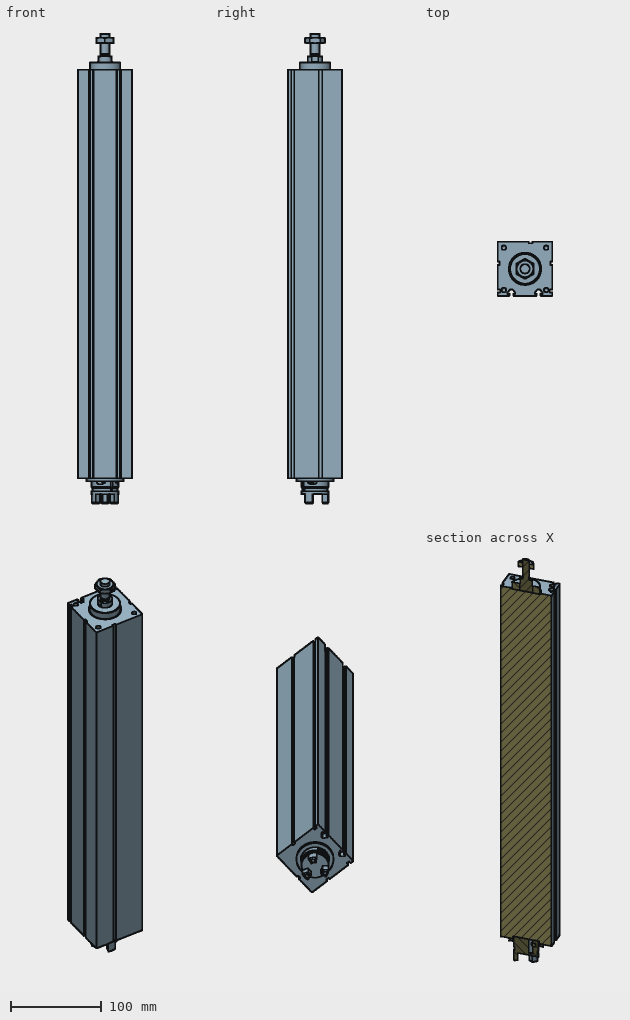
import cadquery as cq
import math

overall_height = 517.0
hub_rim_bottom = 11.0
ring_bottom = 25.0
housing_bottom = 28.0
housing_top = 477.5
collar_top = 485.5
flats_bottom = 486.5
neck_top = 492.0
relief_bottom = 493.5
relief_top = 495.0

housing_width = 60.0
half_width = housing_width / 2
corner_chamfer = 0.5
groove_width = 3.5
groove_depth = 1.8
groove_offset = 6.0
foot_groove_width = 3.0
foot_groove_depth = 2.5
foot_groove_y = -24.5
slot_offset = 15.0
slot_opening = 3.5
slot_lip = 2.5
slot_chamfer = 1.0
slot_cavity_width = 8.5
slot_cavity_wall = 1.0
slot_depth = 7.0
slot_floor_width = 2.5
screw_hole_diameter = 5.0
screw_hole_depth = 10.5
screw_hole_offset = 23.5
drill_point_angle = 118.0

collar_diameter = 33.5
collar_chamfer = 0.5
collar_recess_diameter = 35.5
collar_recess_depth = 1.0
rod_diameter = 16.0
rod_flats = 14.5
thread_diameter = 10.5
relief_diameter = 10.0
hexagon_sides = 6
nut_bottom = 506.5
nut_height = 6.0
nut_across_flats = 19.0
nut_face_diameter = 18.0
nut_chamfer_angle = 20.0

collar_bottom = housing_top - collar_recess_depth

ring_diameter = 41.0
hub_diameter = 30.0
hub_clearance = 0.5
hub_top = 31.0
hub_groove_bottom = 14.0
hub_groove_height = 3.0
hub_groove_depth = 1.0
hub_groove_taper = 1.5
jaw_count = 3
jaw_start_angle = 90.0
jaw_half_angle = 18.0
jaw_inner_radius = 8.5
jaw_chamfer = 1.5
slit_width = 2.0
slit_angle = -60.0

screw_z = 25.5
screw_radius_from_axis = 9.5
screw_thread_diameter = 4.0
screw_head_diameter = 7.0
screw_pocket_diameter = 8.0
screw_head_bearing = 4.0
screw_head_height = 3.0
screw_end_seat = 6.5
screw_socket_flats = 3.0
screw_socket_depth = 1.5


def cylinder(diameter, bottom, top):
    return cq.Workplane("XY").workplane(offset=bottom).circle(diameter / 2).extrude(top - bottom)


def full_length_bar(size_x, size_y, x, y):
    """Rectangular bar over the whole housing length, for the blank and straight grooves."""
    bar = cq.Workplane("XY").workplane(offset=housing_bottom).center(x, y)
    return bar.rect(size_x, size_y).extrude(housing_top - housing_bottom)


def t_slot(x):
    """T-slot open to -Y, with chamfered lips and a tapered floor."""
    half_mouth = slot_opening / 2 + slot_chamfer
    right_side = [
        (half_mouth, 0),
        (slot_opening / 2, slot_chamfer),
        (slot_opening / 2, slot_lip),
        (slot_cavity_width / 2, slot_lip),
        (slot_cavity_width / 2, slot_lip + slot_cavity_wall),
        (slot_floor_width / 2, slot_depth),
    ]
    left_side = [(-px, py) for px, py in reversed(right_side)]
    profile = cq.Workplane("XY", origin=(x, -half_width, housing_bottom))
    return profile.polyline(right_side + left_side).close().extrude(housing_top - housing_bottom)


def screw_hole(x, y):
    """Blind hole with a conical bottom, drilled from the top face."""
    radius = screw_hole_diameter / 2
    point_depth = radius / math.tan(math.radians(drill_point_angle / 2))
    section = [
        (0, 0),
        (radius, 0),
        (radius, -screw_hole_depth),
        (0, -screw_hole_depth - point_depth),
    ]
    hole = cq.Workplane("XZ").polyline(section).close().revolve(360, (0, 0, 0), (0, 1, 0))
    return hole.translate((x, y, housing_top))


def make_housing():
    body = full_length_bar(housing_width, housing_width, 0, 0).edges("|Z").chamfer(corner_chamfer)
    body = body.cut(full_length_bar(groove_width, 2 * groove_depth, groove_offset, half_width))
    for side in (-1, 1):
        side_x = side * half_width
        body = body.cut(full_length_bar(2 * groove_depth, groove_width, side_x, groove_offset))
        body = body.cut(full_length_bar(2 * foot_groove_depth, foot_groove_width, side_x, foot_groove_y))
        body = body.cut(t_slot(side * slot_offset))
        for hole_y in (-screw_hole_offset, screw_hole_offset):
            body = body.cut(screw_hole(side * screw_hole_offset, hole_y))
    hub_recess = cylinder(hub_diameter + 2 * hub_clearance, housing_bottom, hub_top)
    collar_recess = cylinder(collar_recess_diameter, collar_bottom, housing_top)
    return body.cut(hub_recess).cut(collar_recess)


def make_collar():
    collar = cylinder(collar_diameter, collar_bottom, collar_top).faces(">Z").edges().chamfer(collar_chamfer)
    return collar.cut(cylinder(rod_diameter, collar_bottom, collar_top))


def make_rod():
    """Rod with two wrench flats facing X, a thread relief and a threaded end."""
    rod = cylinder(rod_diameter, collar_bottom, neck_top)
    flats_height = neck_top - flats_bottom
    flats_zone = cq.Workplane("XY").workplane(offset=flats_bottom).rect(2 * rod_diameter, 2 * rod_diameter)
    flats_core = cq.Workplane("XY").workplane(offset=flats_bottom).rect(rod_flats, 2 * rod_diameter)
    rod = rod.cut(flats_zone.extrude(flats_height).cut(flats_core.extrude(flats_height)))
    shoulder = cylinder(thread_diameter, neck_top, relief_bottom)
    relief = cylinder(relief_diameter, relief_bottom, relief_top)
    thread = cylinder(thread_diameter, relief_top, overall_height)
    return rod.union(shoulder).union(relief).union(thread)


def make_nut():
    """Hexagon nut with corners toward +Y and -Y and both ends chamfered."""
    corner_radius = nut_across_flats / math.sqrt(3)
    corner_step = 2 * math.pi / hexagon_sides
    corners = [
        (corner_radius * math.sin(i * corner_step), corner_radius * math.cos(i * corner_step))
        for i in range(hexagon_sides)
    ]
    nut = cq.Workplane("XY").workplane(offset=nut_bottom).polyline(corners).close().extrude(nut_height)
    face_radius = nut_face_diameter / 2
    drop = (corner_radius - face_radius) * math.tan(math.radians(nut_chamfer_angle))
    envelope_section = [
        (0, 0),
        (face_radius, 0),
        (corner_radius, drop),
        (corner_radius, nut_height - drop),
        (face_radius, nut_height),
        (0, nut_height),
    ]
    envelope = cq.Workplane("XZ").polyline(envelope_section).close().revolve(360, (0, 0, 0), (0, 1, 0))
    nut = nut.intersect(envelope.translate((0, 0, nut_bottom)))
    return nut.cut(cylinder(thread_diameter, nut_bottom, nut_bottom + nut_height))


def make_flange_ring():
    ring = cylinder(ring_diameter, ring_bottom, housing_bottom)
    return ring.cut(cylinder(hub_diameter + 2 * hub_clearance, ring_bottom, housing_bottom))


def make_jaw(angle):
    """Ring sector below the hub rim, chamfered around its tip."""
    def polar(radius, offset):
        direction = math.radians(angle + offset)
        return (radius * math.cos(direction), radius * math.sin(direction))

    outer_radius = hub_diameter / 2
    jaw = (
        cq.Workplane("XY")
        .moveTo(*polar(jaw_inner_radius, -jaw_half_angle))
        .lineTo(*polar(outer_radius, -jaw_half_angle))
        .threePointArc(polar(outer_radius, 0), polar(outer_radius, jaw_half_angle))
        .lineTo(*polar(jaw_inner_radius, jaw_half_angle))
        .threePointArc(polar(jaw_inner_radius, 0), polar(jaw_inner_radius, -jaw_half_angle))
        .close()
        .extrude(hub_rim_bottom)
    )
    return jaw.faces("<Z").edges().chamfer(jaw_chamfer)


slit_direction = cq.Vector(math.cos(math.radians(slit_angle)), math.sin(math.radians(slit_angle)), 0)
head_direction = cq.Vector(slit_direction.y, -slit_direction.x, 0)
screw_centre = slit_direction * screw_radius_from_axis + cq.Vector(0, 0, screw_z)
clamp_plane = cq.Plane(origin=screw_centre, xDir=slit_direction, normal=head_direction)


def screw_cylinder(diameter, start, end):
    return cq.Workplane(clamp_plane).workplane(offset=start).circle(diameter / 2).extrude(end - start)


def make_hub_groove():
    """Ring-shaped cutter with a flat lower wall and a sloping upper wall."""
    outer_radius = hub_diameter / 2
    inner_radius = outer_radius - hub_groove_depth
    groove_top = hub_groove_bottom + hub_groove_height
    section = [
        (outer_radius, hub_groove_bottom),
        (inner_radius, hub_groove_bottom),
        (inner_radius, groove_top),
        (outer_radius, groove_top + hub_groove_taper),
    ]
    return cq.Workplane("XZ").polyline(section).close().revolve(360, (0, 0, 0), (0, 1, 0))


def make_hub():
    hub = cylinder(hub_diameter, hub_rim_bottom, hub_top)
    hub = hub.cut(make_hub_groove())
    for i in range(jaw_count):
        hub = hub.union(make_jaw(jaw_start_angle + i * 360 / jaw_count))
    slit = (
        cq.Workplane("XY")
        .workplane(offset=hub_groove_bottom)
        .center(hub_diameter / 2, 0)
        .rect(hub_diameter, slit_width)
        .extrude(hub_top - hub_groove_bottom)
        .rotate((0, 0, 0), (0, 0, 1), slit_angle)
    )
    hub = hub.cut(slit)
    hub = hub.cut(screw_cylinder(screw_pocket_diameter, screw_head_bearing, hub_diameter))
    hub = hub.cut(screw_cylinder(screw_pocket_diameter, -hub_diameter, -screw_end_seat))
    return hub.cut(screw_cylinder(screw_thread_diameter, -screw_end_seat, screw_head_bearing))


def make_clamp_screw():
    """Cap screw with a hexagon socket, ending flush with the far spot face."""
    head_end = screw_head_bearing + screw_head_height
    screw = screw_cylinder(screw_head_diameter, screw_head_bearing, head_end)
    screw = screw.union(screw_cylinder(screw_thread_diameter, -screw_end_seat, screw_head_bearing))
    socket_diameter = 2 * screw_socket_flats / math.sqrt(3)
    socket = cq.Workplane(clamp_plane).workplane(offset=head_end).polygon(hexagon_sides, socket_diameter)
    return screw.cut(socket.extrude(-screw_socket_depth))


housing = make_housing()
collar = make_collar()
rod = make_rod()
nut = make_nut()
flange_ring = make_flange_ring()
hub = make_hub()
clamp_screw = make_clamp_screw()

result = cq.Compound.makeCompound([
    housing.val(),
    collar.val(),
    rod.val(),
    nut.val(),
    flange_ring.val(),
    hub.val(),
    clamp_screw.val(),
])